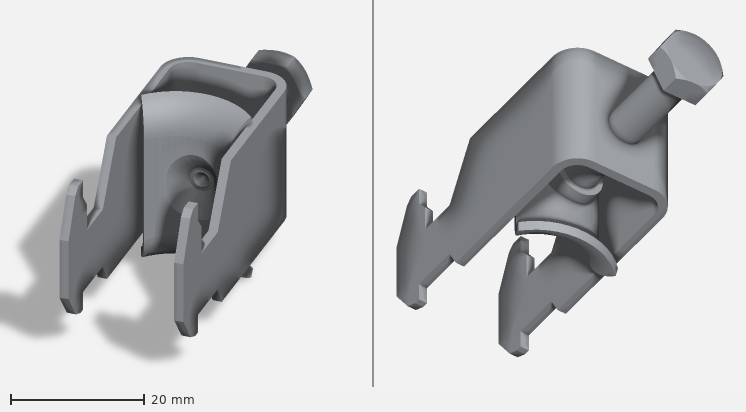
import cadquery as cq
import math


sheet = 1.5
bracket_width = 20.0
bend_radius = 4.5
bracket_top = 12.8
bracket_bottom = -9.8
leg_end = -45.9
upper_shoulder = -26.45
lower_shoulder = -30.2
neck_start = -31.85
neck_top = 3.2
neck_bottom = -6.7
hook_back = -40.0
hook_step = -38.45
step_bottom = 7.8
step_top = 9.8
upper_bevel = (-42.0, -43.15, 11.75)
lower_bevel = (-41.0, -42.95, -8.95)
nose_top = 5.35
nose_bottom = -4.7
collar_diameter = 7.3
collar_end = -3.7

shank_diameter = 6.0
head_flats = 10.0
head_height = 4.0
bolt_top = 18.6
fillet_height = 0.5
fillet_diameter = 6.5
tip_diameter = 3.0
tip_chamfer = 0.1
dimple_diameter = 2.5
dimple_depth = 1.3

saddle_axis = -23.75
saddle_radius = 8.1
saddle_sheet = 1.5
saddle_straight = 8.65
flare_radius = 5.55
flare_angle = 75.0
side_offset = 4.5
side_angle = 27.2
funnel_half_width = 4.2
funnel_half_straight = 1.35
funnel_depth = 2.6
floor_diameter = 4.0
floor_thickness = 1.15
boss_diameter = 8.4
mouth_clearance = 2.6
funnel_steps = 16

saddle_apex = saddle_axis + saddle_radius
mouth_y = saddle_apex - mouth_clearance
floor_y = saddle_apex + funnel_depth
shank_end = floor_y + floor_thickness


def cylinder_y(diameter, start, end):
    """Cylinder on the Y axis between two Y positions."""
    return cq.Workplane("XZ", origin=(0, start, 0)).circle(diameter / 2).extrude(start - end)


def make_bracket():
    def bent_block(inset):
        """Long block rounded at its back corners, inset from the bracket's outside."""
        return (
            cq.Workplane("XY", origin=(0, leg_end, bracket_bottom))
            .rect(bracket_width - 2 * inset, -2 * (leg_end + inset))
            .extrude(bracket_top - bracket_bottom)
            .edges("|Z and >Y")
            .fillet(bend_radius - inset)
        )

    channel = bent_block(0).cut(bent_block(sheet))
    upper_bevel_start, upper_bevel_end, upper_bevel_z = upper_bevel
    lower_bevel_start, lower_bevel_end, lower_bevel_z = lower_bevel
    side_profile = [
        (0, bracket_bottom),
        (0, bracket_top),
        (upper_shoulder, bracket_top),
        (neck_start, neck_top),
        (hook_step, neck_top),
        (hook_step, step_bottom),
        (hook_back, step_top),
        (hook_back, bracket_top),
        (upper_bevel_start, bracket_top),
        (upper_bevel_end, upper_bevel_z),
        (leg_end, nose_top),
        (leg_end, nose_bottom),
        (lower_bevel_end, lower_bevel_z),
        (lower_bevel_start, bracket_bottom),
        (hook_back, bracket_bottom),
        (hook_back, neck_bottom),
        (neck_start, neck_bottom),
        (lower_shoulder, bracket_bottom),
    ]
    legs = cq.Workplane("YZ").polyline(side_profile).close().extrude(bracket_width / 2, both=True)
    collar = cylinder_y(collar_diameter, collar_end, -sheet)
    bolt_hole = cylinder_y(shank_diameter, collar_end, 0)
    return channel.intersect(legs).union(collar).cut(bolt_hole)


def make_bolt():
    head_bottom = bolt_top - head_height
    corners = head_flats / math.cos(math.radians(30))
    chamfer = (corners - head_flats) / 2
    head = cq.Workplane("XZ", origin=(0, head_bottom, 0)).polygon(6, corners).extrude(-head_height)
    crown = cylinder_y(corners, head_bottom, bolt_top).faces(">Y").chamfer(chamfer)
    shank = (
        cq.Workplane("XY")
        .moveTo(0, head_bottom)
        .lineTo(fillet_diameter / 2, head_bottom)
        .lineTo(shank_diameter / 2, head_bottom - fillet_height)
        .lineTo(shank_diameter / 2, shank_end)
        .lineTo(tip_diameter / 2, shank_end)
        .lineTo(tip_diameter / 2, floor_y)
        .lineTo(tip_diameter / 2 - tip_chamfer, floor_y - tip_chamfer)
        .lineTo(dimple_diameter / 2, floor_y - tip_chamfer)
        .lineTo(0, floor_y - tip_chamfer + dimple_depth)
        .close()
        .revolve(360, (0, 0, 0), (0, 1, 0))
    )
    return head.intersect(crown).union(shank)


def make_funnel():
    """Straight-ruled funnel whose mouth meets the saddle's inside along a slot-shaped rim."""
    floor_radius = floor_diameter / 2
    angles = [math.pi * i / funnel_steps for i in range(funnel_steps + 1)]

    def half_points(angle, side):
        """Matching points of the mouth and the floor circle, on the ruling through the rim."""
        rim_x = funnel_half_width * math.cos(angle)
        rim_z = funnel_half_straight + funnel_half_width * math.sin(angle)
        rim_y = saddle_axis + math.sqrt(saddle_radius**2 - rim_x**2)
        floor = cq.Vector(floor_radius * math.cos(angle), floor_y, floor_radius * math.sin(angle) * side)
        rim = cq.Vector(rim_x, rim_y, rim_z * side)
        stretch = (floor_y - mouth_y) / (floor_y - rim_y)
        return floor + (rim - floor) * stretch, floor

    rulings = {side: [half_points(angle, side) for angle in angles] for side in (1, -1)}
    mouth_edges = []
    floor_edges = []
    walls = []
    for side, points in rulings.items():
        mouth_edge = cq.Edge.makeSpline([mouth for mouth, _ in points], parameters=angles)
        floor_edge = cq.Edge.makeSpline([floor for _, floor in points], parameters=angles)
        walls.append(cq.Face.makeRuledSurface(mouth_edge, floor_edge))
        mouth_edges.append(mouth_edge)
        floor_edges.append(floor_edge)
    for end in (0, -1):
        upper, floor = rulings[1][end]
        lower = rulings[-1][end][0]
        mouth_edges.append(cq.Edge.makeLine(upper, lower))
        walls.append(cq.Face.makeFromWires(cq.Wire.makePolygon([upper, lower, floor], close=True)))
    caps = [cq.Face.makeFromWires(cq.Wire.assembleEdges(edges)) for edges in (mouth_edges, floor_edges)]
    return cq.Workplane(cq.Solid.makeSolid(cq.Shell.makeShell(walls + caps)))


def make_saddle():
    outer_radius = saddle_radius + saddle_sheet
    flare_center = saddle_radius + flare_radius
    outer_flare = flare_radius - saddle_sheet

    def flare_point(radius, angle, end):
        a = math.radians(angle)
        return (flare_center - radius * math.cos(a), end * (saddle_straight + radius * math.sin(a)))

    wall = (
        cq.Workplane("XZ")
        .moveTo(saddle_radius, -saddle_straight)
        .lineTo(saddle_radius, saddle_straight)
        .threePointArc(flare_point(flare_radius, flare_angle / 2, 1), flare_point(flare_radius, flare_angle, 1))
        .lineTo(*flare_point(outer_flare, flare_angle, 1))
        .threePointArc(flare_point(outer_flare, flare_angle / 2, 1), (outer_radius, saddle_straight))
        .lineTo(outer_radius, -saddle_straight)
        .threePointArc(flare_point(outer_flare, flare_angle / 2, -1), flare_point(outer_flare, flare_angle, -1))
        .lineTo(*flare_point(flare_radius, flare_angle, -1))
        .threePointArc(flare_point(flare_radius, flare_angle / 2, -1), (saddle_radius, -saddle_straight))
        .close()
        .revolve(360, (0, 0, 0), (0, 1, 0))
    )
    reach = 2 * outer_radius
    spread = side_offset + reach * math.tan(math.radians(side_angle))
    sector = (
        cq.Workplane("XY")
        .polyline([(-side_offset, 0), (side_offset, 0), (spread, reach), (-spread, reach)])
        .close()
        .extrude(reach, both=True)
    )
    saddle = wall.intersect(sector).translate((0, saddle_axis, 0))

    bore = cq.Workplane("XY", origin=(0, saddle_axis, 0)).circle(saddle_radius).extrude(boss_diameter, both=True)
    boss = cylinder_y(boss_diameter, saddle_axis, shank_end).cut(bore)
    tip_hole = cylinder_y(tip_diameter, floor_y, shank_end)
    return saddle.union(boss).cut(make_funnel()).cut(tip_hole)


bolt = make_bolt()
saddle = make_saddle()
bracket = make_bracket().cut(saddle)
result = cq.Compound.makeCompound([bracket.val(), bolt.val(), saddle.val()])